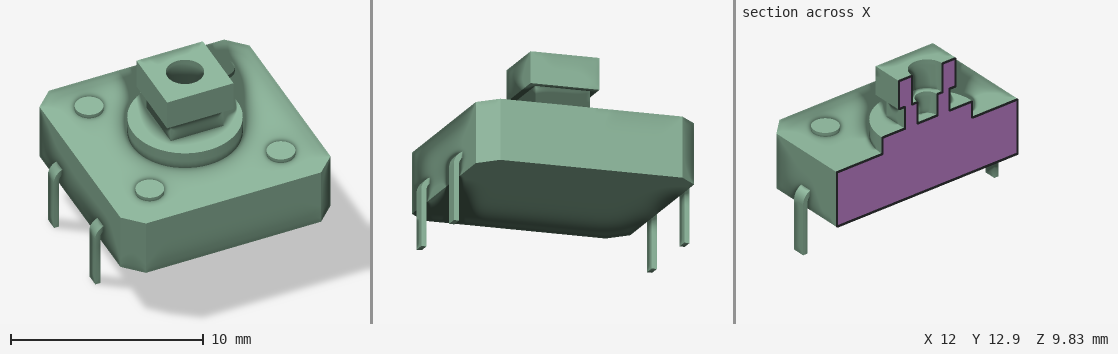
import cadquery as cq
import math

body_width = 12.0
body_height = 3.3
corner_chamfer = 1.0

stud_diameter = 1.5
stud_height = 0.23
stud_spacing = 7.5

collar_diameter = 6.0
collar_height = 0.98
stem_width = 3.0
stem_height = 1.28
head_width = 3.8
head_height = 1.72
bore_diameter = 2.0
pilot_diameter = 1.3

lead_span = 12.95
lead_spacing = 5.1
lead_width = 0.75
lead_thickness = 0.28
lead_drop = 2.55
bend_start = 0.49
bend_radius = 0.75

collar_top = body_height + collar_height
stem_top = collar_top + stem_height


def make_housing():
    block = cq.Workplane("XY").rect(body_width, body_width).extrude(body_height)
    block = block.edges("|Z").chamfer(corner_chamfer)
    studs = (
        cq.Workplane("XY")
        .workplane(offset=body_height)
        .rect(stud_spacing, stud_spacing, forConstruction=True)
        .vertices()
        .circle(stud_diameter / 2)
        .extrude(stud_height)
    )
    return block.union(studs)


def make_actuator():
    collar = cq.Workplane("XY").workplane(offset=body_height).circle(collar_diameter / 2).extrude(collar_height)
    stem = cq.Workplane("XY").workplane(offset=collar_top).rect(stem_width, stem_width).extrude(stem_height)
    head = cq.Workplane("XY").workplane(offset=stem_top).rect(head_width, head_width).extrude(head_height)
    bore = cq.Workplane("XY").workplane(offset=stem_top).circle(bore_diameter / 2).extrude(head_height)
    pilot = cq.Workplane("XY").workplane(offset=collar_top).circle(pilot_diameter / 2).extrude(stem_height)
    return collar.union(stem).union(head).cut(bore).cut(pilot)


def make_lead(x_center):
    """Lead on the -Y side: a vertical leg and a quarter bend that ends inside the housing."""
    outer_y = -lead_span / 2
    inner_y = outer_y + lead_thickness
    bend_center_y = outer_y + bend_radius
    inner_radius = bend_radius - lead_thickness

    def bend_middle(radius):
        offset = radius * math.sqrt(0.5)
        return (bend_center_y - offset, bend_start + offset)

    profile = (
        cq.Workplane("YZ")
        .workplane(offset=x_center - lead_width / 2)
        .moveTo(outer_y, -lead_drop)
        .lineTo(outer_y, bend_start)
        .threePointArc(bend_middle(bend_radius), (bend_center_y, bend_start + bend_radius))
        .lineTo(bend_center_y, bend_start + inner_radius)
        .threePointArc(bend_middle(inner_radius), (inner_y, bend_start))
        .lineTo(inner_y, -lead_drop)
        .close()
    )
    return profile.extrude(lead_width)


result = make_housing().union(make_actuator())
for x_center in (-lead_spacing / 2, lead_spacing / 2):
    lead = make_lead(x_center)
    result = result.union(lead).union(lead.mirror("XZ"))